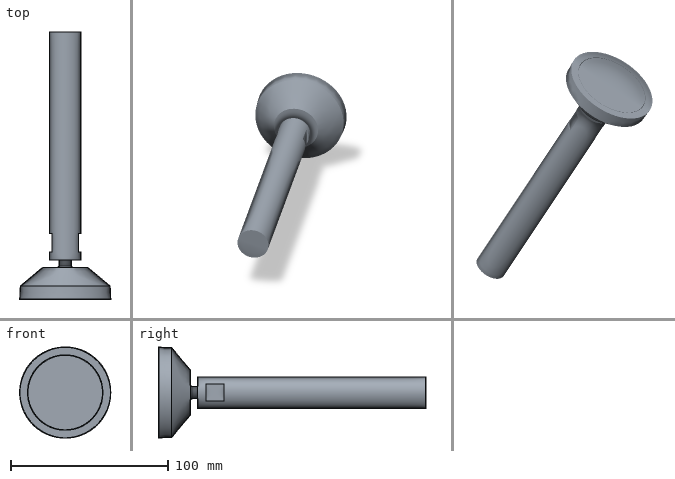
import cadquery as cq

overall_length = 170.0
foot_bottom = -overall_length / 2
stud_top = overall_length / 2

foot_diameter = 58.0
rim_top_diameter = 57.1
rim_height = 8.3
foot_top_diameter = 28.5
foot_height = 20.2

neck_diameter = 7.8
neck_fillet_radius = 1.2

stud_diameter = 20.0
stud_start = 24.8
flat_start = 30.1
flat_length = 11.5
across_flats = 17.0

recess_diameter = 48.0
pad_diameter = 47.5
pad_thickness = 3.4


def disc(diameter, height):
    """Disc on the part axis, rising in +Y from the underside of the foot."""
    plane = cq.Workplane("XZ", origin=(0, foot_bottom, 0))
    return plane.circle(diameter / 2).extrude(-height)


def make_turned_body():
    """Foot, neck and stud revolved about the Y axis in one piece."""
    foot_top = foot_bottom + foot_height
    stud_bottom = foot_bottom + stud_start
    return (
        cq.Workplane("XY")
        .moveTo(0, foot_bottom)
        .lineTo(foot_diameter / 2, foot_bottom)
        .lineTo(rim_top_diameter / 2, foot_bottom + rim_height)
        .lineTo(foot_top_diameter / 2, foot_top)
        .lineTo(neck_diameter / 2 + neck_fillet_radius, foot_top)
        .radiusArc((neck_diameter / 2, foot_top + neck_fillet_radius), neck_fillet_radius)
        .lineTo(neck_diameter / 2, stud_bottom)
        .lineTo(stud_diameter / 2, stud_bottom)
        .lineTo(stud_diameter / 2, stud_top)
        .lineTo(0, stud_top)
        .close()
        .revolve(360, (0, 0, 0), (0, 1, 0))
    )


def cut_wrench_flats(body):
    """Cut a flat on the -X and +X sides of the stud."""
    flat_depth = (stud_diameter - across_flats) / 2
    flat_middle = foot_bottom + flat_start + flat_length / 2
    for side in (-1, 1):
        cutter_x = side * (across_flats + flat_depth) / 2
        cutter = cq.Workplane("XY").box(flat_depth, flat_length, stud_diameter)
        body = body.cut(cutter.translate((cutter_x, flat_middle, 0)))
    return body


def make_levelling_foot():
    """Foot and stud with the wrench flats and the recess for the pad."""
    body = cut_wrench_flats(make_turned_body())
    return body.cut(disc(recess_diameter, pad_thickness))


def make_pad():
    """Pad that rests on the recess floor, flush with the foot underside."""
    return disc(pad_diameter, pad_thickness)


levelling_foot = make_levelling_foot()
pad = make_pad()

result = cq.Compound.makeCompound([levelling_foot.val(), pad.val()])